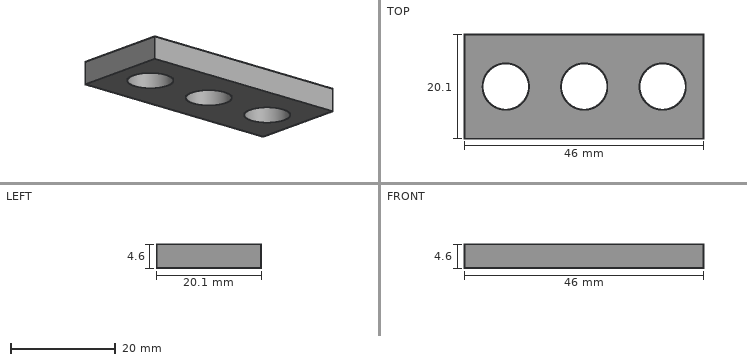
import cadquery as cq

length = 45.95
width = 20.1
thickness = 4.6

hole_diameter = 8.85
hole_spacing = 15.1
hole_count = 3
row_offset = 0.05

plate = cq.Workplane("XY").box(length, width, thickness)

result = (
    plate.faces(">Z")
    .workplane()
    .center(row_offset, 0)
    .rarray(hole_spacing, 0.45, hole_count, 1)
    .hole(hole_diameter)
)